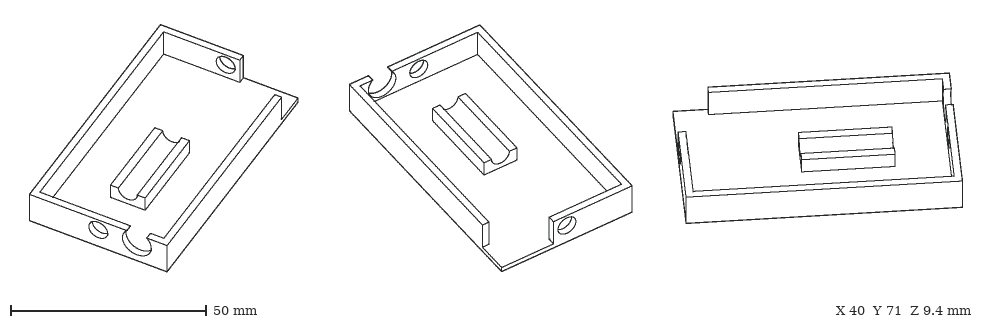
import cadquery as cq

width = 40.0
length = 71.0
height = 9.4
wall = 2.0
floor = 1.5

back_wall_end_x = 4.1
side_wall_gap = 8.95

rod_diameter = 5.5
rod_z = 5.8

notch_diameter = 8.4
notch_x = 11.2
notch_z = 6.3

cradle_width = 10.1
cradle_length = 24.0
cradle_front_offset = 16.05

front_y = -length / 2
back_y = length / 2
side_x = width / 2


def box_between(low, high):
    """Box spanning two opposite corners."""
    size = [b - a for a, b in zip(low, high)]
    return cq.Workplane("XY").box(*size, centered=False).translate(low)


def bore(diameter, x, z, start_y, depth):
    """Cylinder along +Y, beginning at start_y."""
    axis_start = cq.Vector(x, start_y, z)
    return cq.Workplane(cq.Solid.makeCylinder(diameter / 2, depth, axis_start, cq.Vector(0, 1, 0)))


def make_tray():
    """Floor with surrounding walls, open at one corner."""
    tray = box_between((-side_x, front_y, 0), (side_x, back_y, height))
    cavity = box_between(
        (-side_x + wall, front_y + wall, floor),
        (side_x - wall, back_y - wall, height),
    )
    corner_opening = box_between(
        (back_wall_end_x, back_y - side_wall_gap, floor),
        (side_x, back_y, height),
    )
    return tray.cut(cavity).cut(corner_opening)


def make_cradle():
    """Block whose top reaches the rod axis, leaving a half-round groove after boring."""
    cradle_front_y = front_y + cradle_front_offset
    return box_between(
        (-cradle_width / 2, cradle_front_y, floor),
        (cradle_width / 2, cradle_front_y + cradle_length, rod_z),
    )


rod_bore = bore(rod_diameter, 0, rod_z, front_y, length)
notch = bore(notch_diameter, notch_x, notch_z, front_y, wall)

result = make_tray().union(make_cradle()).cut(rod_bore).cut(notch)